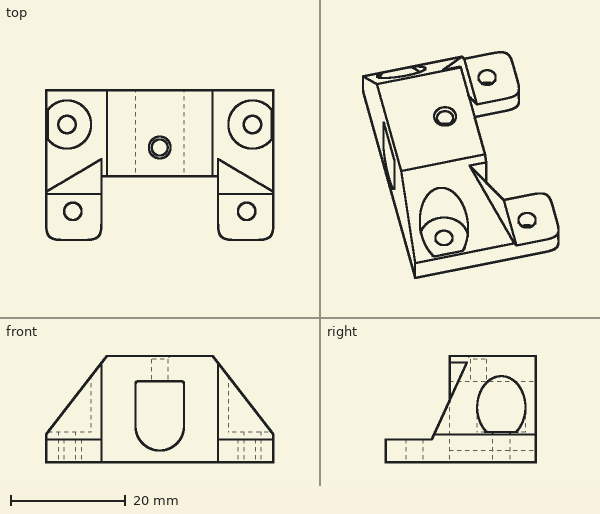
import cadquery as cq

width = 39.57
depth = 26.11
height = 18.5
half_width = width / 2

block_depth = 15.0
top_half_width = 9.2
flank_base_z = 4.85

tab_thickness = 4.0
tab_inner_x = 10.12
tab_corner_reach = 2.95
tab_corner_fullness = 0.8

gusset_top_y = -12.0
gusset_foot_y = -18.1
flank_rise_per_run = (height - flank_base_z) / (half_width - top_half_width)
gusset_top_z = height - (tab_inner_x - top_half_width) * flank_rise_per_run

window_width = 8.4
window_bottom_z = 2.05
window_top_z = 14.05
window_corner_radius = 0.4

screw_diameter = 3.0
front_screw_x = 15.12
front_screw_y = -21.1
rear_screw_x = 16.13
rear_screw_y = -6.0
screw_head_diameter = 8.4
screw_head_seat_z = 5.25

top_hole_diameter = 2.8
top_hole_y = -10.0
countersink_diameter = 3.8


def center_box(front_y, back_y):
    """Full-height box between the inner sides of the tabs, from front_y to back_y."""
    return (
        cq.Workplane("XY", origin=(0, front_y, 0))
        .box(2 * tab_inner_x, back_y - front_y, height, centered=(True, False, False))
    )


def trapezoid_block():
    """Trapezoidal outline extruded over the depth of the block and gussets."""
    return (
        cq.Workplane("XZ")
        .moveTo(-half_width, 0)
        .lineTo(half_width, 0)
        .lineTo(half_width, flank_base_z)
        .lineTo(top_half_width, height)
        .lineTo(-top_half_width, height)
        .lineTo(-half_width, flank_base_z)
        .close()
        .extrude(-gusset_foot_y)
    )


def gusset_cutter():
    """Space in front of the gusset planes and above the tabs, clear of the block's middle."""
    gusset_slope = (gusset_top_y - gusset_foot_y) / (gusset_top_z - tab_thickness)
    cutter_top_y = gusset_top_y + (height - gusset_top_z) * gusset_slope
    cutter = (
        cq.Workplane("YZ")
        .moveTo(gusset_foot_y, tab_thickness)
        .lineTo(cutter_top_y, height)
        .lineTo(-depth, height)
        .lineTo(-depth, tab_thickness)
        .close()
        .extrude(half_width, both=True)
    )
    return cutter.cut(center_box(-block_depth, 0))


def front_opening():
    """Space between the two gussets, in front of the block."""
    return center_box(gusset_foot_y, -block_depth)


def tab(side):
    """Front tab on the given side (-1 or 1), with smoothly blended front corners."""
    inner_x = side * tab_inner_x
    outer_x = side * half_width
    reach_x = side * tab_corner_reach
    blend_start_y = -depth + tab_corner_reach
    handle_gap = tab_corner_reach * (1 - tab_corner_fullness)
    handle_x = side * handle_gap
    handle_y = -depth + handle_gap
    return (
        cq.Workplane("XY")
        .moveTo(inner_x, -block_depth)
        .lineTo(inner_x, blend_start_y)
        .bezier(
            [(inner_x, handle_y), (inner_x + handle_x, -depth), (inner_x + reach_x, -depth)],
            includeCurrent=True,
        )
        .lineTo(outer_x - reach_x, -depth)
        .bezier(
            [(outer_x - handle_x, -depth), (outer_x, handle_y), (outer_x, blend_start_y)],
            includeCurrent=True,
        )
        .lineTo(outer_x, -block_depth)
        .close()
        .extrude(tab_thickness)
    )


def window():
    """Window cutter running through the block from front to back."""
    radius = window_width / 2
    arc_center_z = window_bottom_z + radius
    return (
        cq.Workplane("XZ")
        .moveTo(-radius, window_top_z)
        .lineTo(-radius, arc_center_z)
        .threePointArc((0, window_bottom_z), (radius, arc_center_z))
        .lineTo(radius, window_top_z)
        .close()
        .extrude(block_depth)
        .edges("|Y and >Z")
        .fillet(window_corner_radius)
    )


def vertical_hole(x, y, diameter, bottom_z):
    """Cylindrical cutter from bottom_z up to the top of the part."""
    return (
        cq.Workplane("XY", origin=(x, y, bottom_z))
        .circle(diameter / 2)
        .extrude(height - bottom_z)
    )


def countersink():
    """90 degree conical cutter at the mouth of the top hole."""
    sink_depth = (countersink_diameter - top_hole_diameter) / 2
    return (
        cq.Workplane("XY", origin=(0, top_hole_y, height))
        .circle(countersink_diameter / 2)
        .workplane(offset=-sink_depth)
        .circle(top_hole_diameter / 2)
        .loft()
    )


body = trapezoid_block().cut(gusset_cutter()).cut(front_opening())
for side in (-1, 1):
    body = body.union(tab(side))

body = body.cut(window())
for side in (-1, 1):
    body = body.cut(vertical_hole(side * front_screw_x, front_screw_y, screw_diameter, 0))
    body = body.cut(vertical_hole(side * rear_screw_x, rear_screw_y, screw_diameter, 0))
    body = body.cut(
        vertical_hole(side * rear_screw_x, rear_screw_y, screw_head_diameter, screw_head_seat_z)
    )

body = body.cut(vertical_hole(0, top_hole_y, top_hole_diameter, window_top_z))
result = body.cut(countersink())